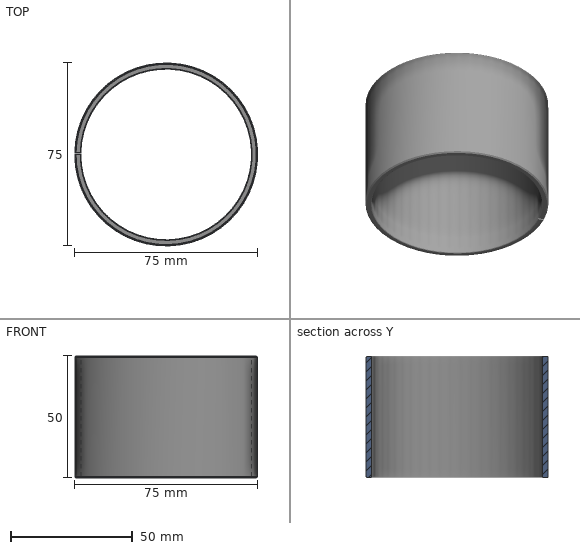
import cadquery as cq

outer_diameter = 75.0
wall = 2.5
height = 50.0
slit_angle = 1.0
outer_chamfer = 0.5
inner_chamfer = 0.2

outer_radius = outer_diameter / 2
inner_radius = outer_radius - wall
half_height = height / 2


def wall_section():
    """Wall section on the -X side, chamfered at all four corners."""
    return (
        cq.Workplane("XZ")
        .moveTo(-inner_radius, -half_height + inner_chamfer)
        .lineTo(-inner_radius - inner_chamfer, -half_height)
        .lineTo(-outer_radius + outer_chamfer, -half_height)
        .lineTo(-outer_radius, -half_height + outer_chamfer)
        .lineTo(-outer_radius, half_height - outer_chamfer)
        .lineTo(-outer_radius + outer_chamfer, half_height)
        .lineTo(-inner_radius - inner_chamfer, half_height)
        .lineTo(-inner_radius, half_height - inner_chamfer)
        .close()
    )


result = wall_section().revolve(360 - slit_angle, (0, 0, 0), (0, 1, 0))